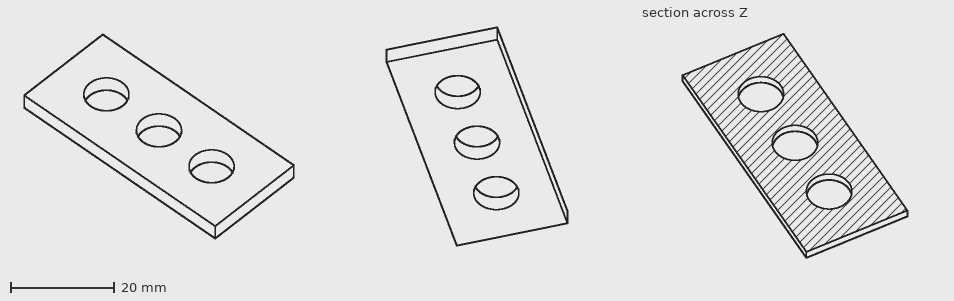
import cadquery as cq

length = 50.8
width = 22.25
thickness = 3.5

hole_diameter = 8.75
hole_pitch = 13.95
hole_count = 3

plate = cq.Workplane("XY").box(length, width, thickness)

result = (
    plate.faces(">Z")
    .workplane()
    .rarray(hole_pitch, 0.5, hole_count, 1)
    .hole(hole_diameter)
)